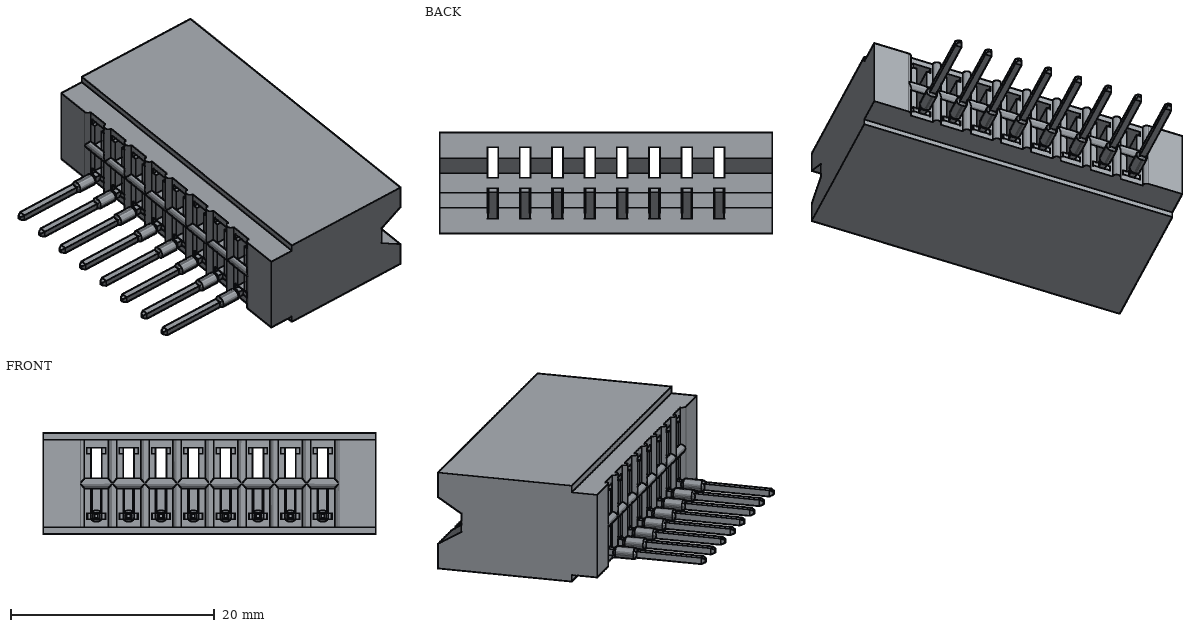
import cadquery as cq
import math

LENGTH = 32.65
HEIGHT = 9.92
DEPTH = 16.4
NOSE_DEPTH = 2.6
NOSE_STEP = 0.7

GUIDE_MOUTH = 4.83
GUIDE_FLOOR = 1.9
GUIDE_DEPTH = 2.4

POSITIONS = 8
ROW_LENGTH = 25.4
PITCH = ROW_LENGTH / POSITIONS
ROW_Z = 3.2

RECESS_DEPTH = 0.42
RIB_RADIUS = RECESS_DEPTH
BAR_RADIUS = 0.52

SLOT_WIDTH = 1.05
GROOVE_WIDTH = 1.85
GROOVE_HEIGHT = 0.6
GROOVE_DEPTH = 6.53

SHANK = 0.65
COLLAR = 1.1
COLLAR_CORNER = 0.5
COLLAR_FRONT = -2.25
COLLAR_BACK = -0.4
TAPER_LENGTH = 0.3
TIP_LENGTH = 0.35
TIP_INSET = 0.15
PIN_TIP = -9.53
TAB_WIDTH = 1.73
SPRING_WIDTH = 0.88
SPRING_THICKNESS = 0.4
SPRING_END = 10.77

nose_height = HEIGHT - 2 * NOSE_STEP
position_xs = [(i - (POSITIONS - 1) / 2) * PITCH for i in range(POSITIONS)]
rib_xs = [(i - POSITIONS / 2) * PITCH for i in range(POSITIONS + 1)]
slot_outer_z = ROW_Z + GROOVE_HEIGHT / 2
groove_end = RECESS_DEPTH + GROOVE_DEPTH


def box(x_size, y_min, y_max, z_min, z_max, x_center=0.0):
    """Box centred on x_center between the given Y and Z limits."""
    corner = (x_center - x_size / 2, y_min, z_min)
    return cq.Workplane("XY").box(x_size, y_max - y_min, z_max - z_min, centered=False).translate(corner)


def housing_block():
    """Stepped block with the V guide, extruded along X from its Y-Z outline."""
    top = HEIGHT / 2
    nose = nose_height / 2
    outline = [
        (0, -nose),
        (NOSE_DEPTH, -nose),
        (NOSE_DEPTH, -top),
        (DEPTH, -top),
        (DEPTH, -GUIDE_MOUTH / 2),
        (DEPTH - GUIDE_DEPTH, -GUIDE_FLOOR / 2),
        (DEPTH - GUIDE_DEPTH, GUIDE_FLOOR / 2),
        (DEPTH, GUIDE_MOUTH / 2),
        (DEPTH, top),
        (NOSE_DEPTH, top),
        (NOSE_DEPTH, nose),
        (0, nose),
    ]
    return cq.Workplane("YZ").polyline(outline).close().extrude(LENGTH / 2, both=True)


def front_ribs():
    """Upright half-round ribs whose crests lie in the front face."""
    return (
        cq.Workplane("XY")
        .pushPoints([(x, RIB_RADIUS) for x in rib_xs])
        .circle(RIB_RADIUS)
        .extrude(nose_height / 2, both=True)
    )


def front_bar():
    """Rounded bar along X, with its crest in the front face."""
    return cq.Workplane("YZ").center(BAR_RADIUS, 0).circle(BAR_RADIUS).extrude(ROW_LENGTH / 2, both=True)


def slot_cutter(x, side):
    """Through slot and its blind outer groove; side is +1 for the upper row, -1 for the lower."""
    slot_limits = sorted([side * BAR_RADIUS, side * slot_outer_z])
    groove_limits = sorted([side * (slot_outer_z - GROOVE_HEIGHT), side * slot_outer_z])
    slot = box(SLOT_WIDTH, 0, DEPTH, *slot_limits, x)
    groove = box(GROOVE_WIDTH, 0, groove_end, *groove_limits, x)
    return slot.union(groove)


def make_housing():
    recess = box(ROW_LENGTH, 0, RECESS_DEPTH, -nose_height / 2, nose_height / 2)
    housing = housing_block().cut(recess).union(front_ribs()).union(front_bar())
    for x in position_xs:
        for side in (1, -1):
            housing = housing.cut(slot_cutter(x, side))
    return housing


def tapered_end(bar, side, length, inset):
    """Extend one end of a bar (side "<Y" or ">Y") by a taper whose sides move in by inset."""
    angle = math.degrees(math.atan2(inset, length))
    return bar.faces(side).wires().toPending().workplane().extrude(length, taper=angle)


def collar():
    """Rounded square collar, tapering down to the shank at each end."""
    bar = box(COLLAR, COLLAR_FRONT, COLLAR_BACK, -COLLAR / 2, COLLAR / 2)
    bar = bar.edges("|Y").fillet(COLLAR_CORNER)
    inset = (COLLAR - SHANK) / 2
    for side in ("<Y", ">Y"):
        bar = tapered_end(bar, side, TAPER_LENGTH, inset)
    return bar


def shank():
    """Square shank from the tapered tip back into the tab."""
    bar = box(SHANK, PIN_TIP + TIP_LENGTH, RECESS_DEPTH, -SHANK / 2, SHANK / 2)
    return tapered_end(bar, "<Y", TIP_LENGTH, TIP_INSET)


def spring():
    """Blade rising from the back of the tab to just under the central web."""
    base_top = GROOVE_HEIGHT / 2
    end_top = ROW_Z - BAR_RADIUS
    outline = [
        (groove_end, -base_top),
        (groove_end, base_top),
        (SPRING_END, end_top),
        (SPRING_END, end_top - SPRING_THICKNESS),
    ]
    return cq.Workplane("YZ").polyline(outline).close().extrude(SPRING_WIDTH / 2, both=True)


def make_pin(x):
    """One contact pin, placed in the lower row at x."""
    tab = box(TAB_WIDTH, RECESS_DEPTH, groove_end, -GROOVE_HEIGHT / 2, GROOVE_HEIGHT / 2)
    pin = shank().union(collar()).union(tab).union(spring())
    return pin.translate((x, 0, -ROW_Z))


housing = make_housing()
pins = [make_pin(x) for x in position_xs]

result = cq.Compound.makeCompound([housing.val(), *[pin.val() for pin in pins]])